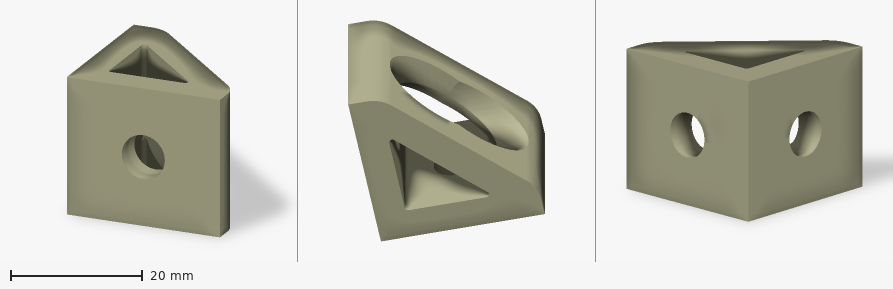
import cadquery as cq

leg = 25.4
height = 22.22
wall = 4.75
outer_reach = 30.35
inner_reach = 23.3
outer_radius = 5.08
pocket_radius = 0.5
hole_diameter = 7.1
access_diameter = 13.0

tip = outer_reach - leg
pocket_end = inner_reach - wall


def prism(points):
    return cq.Workplane("XY").polyline(points).close().extrude(height)


body = prism([(0, 0), (leg, 0), (leg, tip), (tip, leg), (0, leg)])
slope_ends = cq.selectors.BoxSelector((tip / 2, tip / 2, 0), (leg + tip, leg + tip, height))
body = body.edges("|Z").edges(slope_ends).fillet(outer_radius)

window = prism([(wall, wall), (pocket_end, wall), (wall, pocket_end)])
window = window.edges("|Z").fillet(pocket_radius)

center = leg / 2
mid_height = height / 2


def stepped_hole(entry_x, entry_y, direction):
    entry = cq.Vector(entry_x, entry_y, mid_height)
    axis = cq.Vector(*direction)
    seat = entry + axis * wall
    bolt_hole = cq.Solid.makeCylinder(hole_diameter / 2, leg, entry, axis)
    access_bore = cq.Solid.makeCylinder(access_diameter / 2, leg, seat, axis)
    return cq.Workplane(bolt_hole).union(cq.Workplane(access_bore))


result = body.cut(window)
result = result.cut(stepped_hole(center, 0, (0, 1, 0)))
result = result.cut(stepped_hole(0, center, (1, 0, 0)))